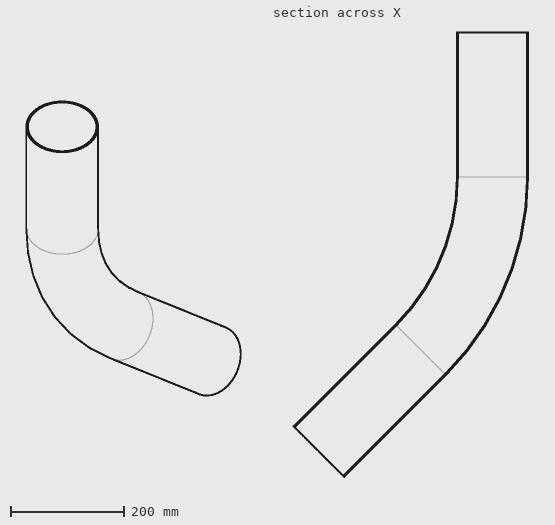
import cadquery as cq
import math

outer_diameter = 127.0
inner_diameter = 121.0
straight_length = 254.0
bend_angle = 45.0
overall_height = 784.0

angle = math.radians(bend_angle)
lower_end_height = (straight_length * math.cos(angle)
                    + outer_diameter / 2 * math.sin(angle))
bend_height = overall_height - straight_length - lower_end_height
bend_radius = bend_height / math.sin(angle)


def bend_point(turn):
    """Centreline point (Y, Z) after turning by an angle; the bend starts at the origin."""
    return (bend_radius * (1 - math.cos(turn)), -bend_radius * math.sin(turn))


bend_end_y, bend_end_z = bend_point(angle)
lower_end = (bend_end_y + straight_length * math.sin(angle),
             bend_end_z - straight_length * math.cos(angle))
centreline = (
    cq.Workplane("YZ")
    .moveTo(0, straight_length)
    .lineTo(0, 0)
    .threePointArc(bend_point(angle / 2), (bend_end_y, bend_end_z))
    .lineTo(*lower_end)
)

result = (
    cq.Workplane("XY", origin=(0, 0, straight_length))
    .circle(outer_diameter / 2)
    .circle(inner_diameter / 2)
    .sweep(centreline)
)